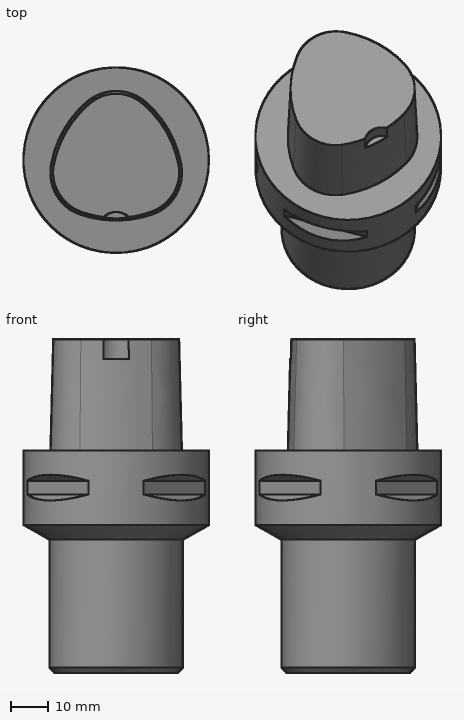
import cadquery as cq
import math

total_height = 90.0
flange_top = 60.0
flange_bottom = 40.0
shank_top = 36.0

flange_radius = 50.0 / 2
shank_radius = 36.0 / 2
shank_chamfer = 1.5

lobe_reach = 18.6
side_reach = 16.3
lobe_radius = 12.0
taper_ratio = 1 / 20
taper_angle = math.degrees(math.atan(taper_ratio / 2))
first_lobe_angle = 90
lobe_count = 3
lobe_spacing = 360 / lobe_count
side_angle = lobe_spacing / 2

slot_count = 4
slot_first_angle = 45.0
slot_floor_distance = 22.1
slot_floor_width = 3.6
slot_wall_angle = 30.0
slot_length = 2 * flange_radius
slot_center_z = (flange_top + flange_bottom) / 2

notch_radius = 4.7
notch_back_y = -13.95
notch_depth = 5.4


def polar(radius, degrees):
    angle = math.radians(degrees)
    return (radius * math.cos(angle), radius * math.sin(angle))


def make_body():
    return (
        cq.Workplane("XZ")
        .moveTo(0, 0)
        .lineTo(shank_radius - shank_chamfer, 0)
        .lineTo(shank_radius, shank_chamfer)
        .lineTo(shank_radius, shank_top)
        .lineTo(flange_radius, flange_bottom)
        .lineTo(flange_radius, flange_top)
        .lineTo(0, flange_top)
        .close()
        .revolve(360, (0, 0, 0), (0, 1, 0))
    )


def make_polygon_shank():
    lobe_offset = lobe_reach - lobe_radius
    side_gap = side_reach - lobe_radius
    side_offset = (lobe_offset**2 - side_gap**2) / (2 * side_gap - lobe_offset)

    joint_normal = math.degrees(
        math.atan2(
            side_offset * math.sin(math.radians(side_angle)),
            lobe_offset + side_offset * math.cos(math.radians(side_angle)),
        )
    )

    def joint(lobe_angle, side):
        center_x, center_y = polar(lobe_offset, lobe_angle)
        reach_x, reach_y = polar(lobe_radius, lobe_angle + side * joint_normal)
        return (center_x + reach_x, center_y + reach_y)

    outline = cq.Workplane("XY", origin=(0, 0, flange_top)).moveTo(*joint(first_lobe_angle, -1))
    for index in range(lobe_count):
        lobe_angle = first_lobe_angle + index * lobe_spacing
        outline = outline.threePointArc(polar(lobe_reach, lobe_angle), joint(lobe_angle, 1))
        outline = outline.threePointArc(
            polar(side_reach, lobe_angle + side_angle), joint(lobe_angle + lobe_spacing, -1)
        )
    return outline.close().extrude(total_height - flange_top, taper=taper_angle)


def make_slot(angle):
    depth = flange_radius - slot_floor_distance
    half_floor = slot_floor_width / 2
    half_mouth = half_floor + depth * math.tan(math.radians(slot_wall_angle))
    return (
        cq.Workplane("XZ", origin=(0, slot_length / 2, slot_center_z))
        .moveTo(slot_floor_distance, -half_floor)
        .lineTo(flange_radius, -half_mouth)
        .lineTo(flange_radius, half_mouth)
        .lineTo(slot_floor_distance, half_floor)
        .close()
        .extrude(slot_length)
        .rotate((0, 0, 0), (0, 0, 1), angle)
    )


def make_notch():
    return (
        cq.Workplane("XY", origin=(0, notch_back_y - notch_radius, total_height - notch_depth))
        .circle(notch_radius)
        .extrude(notch_depth)
    )


result = make_body().union(make_polygon_shank())
for index in range(slot_count):
    result = result.cut(make_slot(slot_first_angle + index * 360 / slot_count))
result = result.cut(make_notch())